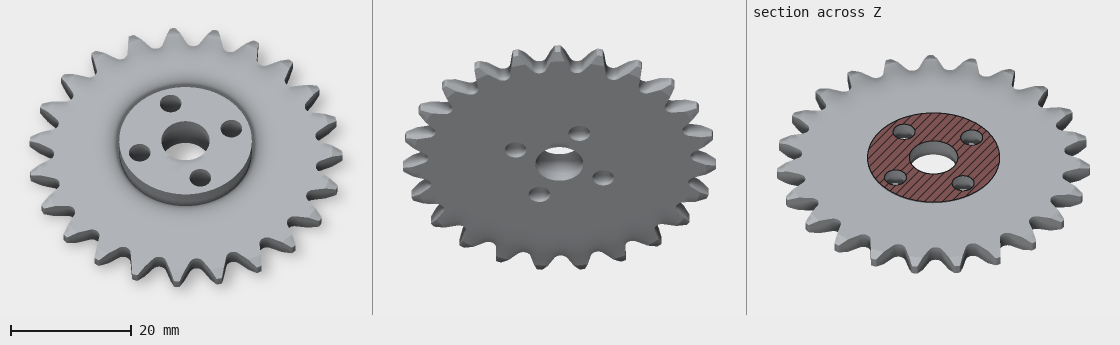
import cadquery as cq
import math

tooth_count = 23
first_tooth_angle = 88.4
tip_radius = 26.0
root_radius = 21.8
seat_radius = 1.25
flank_angle = 22.8
tip_corner_radius = 0.2
disc_thickness = 2.8

bevel_start_radius = 24.35
bevel_depth = 0.6

total_height = 6.1
hub_diameter = 22.0
bore_diameter = 8.0
bolt_hole_diameter = 3.6
bolt_circle_diameter = 16.0
bolt_hole_count = 4

tooth_pitch = 360 / tooth_count


def tooth_gap(angle):
    """Cutter for one gap: a round seat with two straight flanks opening outwards."""
    opening_angle = flank_angle + tooth_pitch / 2
    slope = math.radians(opening_angle)
    seat_centre = root_radius + seat_radius
    tangent_x = seat_centre - seat_radius * math.sin(slope)
    tangent_y = seat_radius * math.cos(slope)
    outer_x = tip_radius + seat_radius
    outer_y = tangent_y + (outer_x - tangent_x) * math.tan(slope)
    return (
        cq.Workplane("XY")
        .moveTo(outer_x, -outer_y)
        .lineTo(tangent_x, -tangent_y)
        .threePointArc((root_radius, 0), (tangent_x, tangent_y))
        .lineTo(outer_x, outer_y)
        .close()
        .extrude(disc_thickness)
        .rotate((0, 0, 0), (0, 0, 1), angle)
    )


def bevelled_disc():
    """Solid disc whose rim tapers on both faces."""
    return (
        cq.Workplane("XZ")
        .moveTo(0, 0)
        .lineTo(bevel_start_radius, 0)
        .lineTo(tip_radius, bevel_depth)
        .lineTo(tip_radius, disc_thickness - bevel_depth)
        .lineTo(bevel_start_radius, disc_thickness)
        .lineTo(0, disc_thickness)
        .close()
        .revolve(360, (0, 0, 0), (0, 1, 0))
    )


def is_tip_corner(edge):
    """True for the edges where a flank meets the outer rim of a tooth."""
    centre = edge.Center()
    return math.isclose(math.hypot(centre.x, centre.y), tip_radius, rel_tol=1e-6)


def toothed_disc():
    disc = cq.Workplane("XY").circle(tip_radius).extrude(disc_thickness)
    for index in range(tooth_count):
        disc = disc.cut(tooth_gap(first_tooth_angle + (index + 0.5) * tooth_pitch))
    rounded = disc.edges("|Z").filter(is_tip_corner).fillet(tip_corner_radius)
    return rounded.intersect(bevelled_disc())


def hub():
    return cq.Workplane("XY").circle(hub_diameter / 2).extrude(total_height)


def through_holes():
    """Central bore and the ring of bolt holes around it."""
    bore = cq.Workplane("XY").circle(bore_diameter / 2).extrude(total_height)
    bolt_holes = (
        cq.Workplane("XY")
        .polarArray(bolt_circle_diameter / 2, 0, 360, bolt_hole_count)
        .circle(bolt_hole_diameter / 2)
        .extrude(total_height)
    )
    return bore.union(bolt_holes)


result = toothed_disc().union(hub()).cut(through_holes())